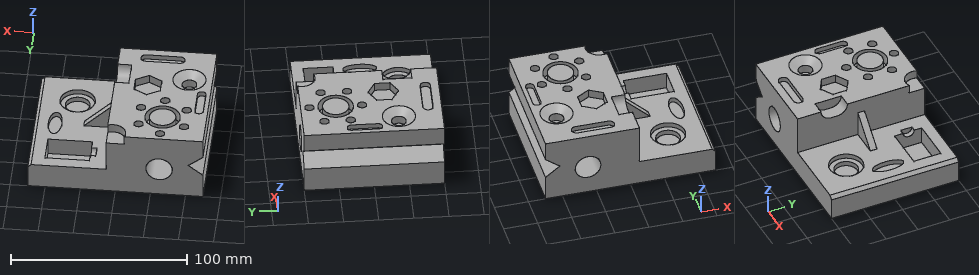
import cadquery as cq

LENGTH, WIDTH, HEIGHT = 100, 80, 40
STEP_X = 55.2
SHELF_Z = 15.6
END_CHAMFER = 2

GROOVE_BOTTOM_Z = 15.6
GROOVE_WIDTH = 13
GROOVE_DEPTH = 8.4
GROOVE_APEX_Z = 22.1

CROSS_HOLE_DIAMETER = 15
CROSS_HOLE_Z = 18

RING_X, RING_Y = 25, 60
RING_OUTER_DIAMETER = 20
RING_INNER_DIAMETER = 15
RING_DEPTH = 7
BOLT_COUNT = 6
BOLT_CIRCLE_DIAMETER = 30
BOLT_DIAMETER = 5.2
BOLT_DEPTH = 5

SIDE_SLOT_CENTER = (5, 45)
SIDE_SLOT_LENGTH, SIDE_SLOT_WIDTH = 20, 4.8
SIDE_SLOT_DEPTH = 3
FRONT_SLOT_CENTER = (30, 7.8)
FRONT_SLOT_LENGTH, FRONT_SLOT_WIDTH = 25, 5.8
FRONT_SLOT_DEPTH = 3

SINK_CENTER = (13.2, 25)
SINK_DIAMETER = 18.8
SINK_HOLE_DIAMETER = 8.3
SINK_DEPTH = 3.5
SINK_HOLE_DEPTH = 8.5

HEX_CENTER = (36.2, 32)
HEX_CORNER_DIAMETER = 17.4
HEX_DEPTH = 5

CORNER_CENTER = (52, 77.2)
CORNER_DIAMETER = 15.2
CORNER_DEPTH = 5.3

NOTCH_Y = 23.1
NOTCH_LENGTH = 8.1
NOTCH_WIDTH = 16.5
NOTCH_DEPTH = 6.4

RIB_Y = 40
RIB_THICKNESS = 4.2
RIB_LENGTH = 16.5
RIB_HEIGHT = 15.8

POCKET_CENTER = (78.1, 64.6)
POCKET_LENGTH, POCKET_WIDTH = 25.4, 17
POCKET_DEPTH = 10.5
CHANNEL_Y = 65
CHANNEL_LENGTH = 3.1
CHANNEL_DIAMETER = 7

ELLIPSE_CENTER = (88.1, 41.2)
ELLIPSE_RADIUS_X, ELLIPSE_RADIUS_Y = 3.9, 9.6
ELLIPSE_DEPTH = 3

BORE_CENTER = (77.4, 20)
COUNTERBORE_DIAMETER = 20
COUNTERBORE_DEPTH = 3
BORE_DIAMETER = 14
BORE_DEPTH = 6


def plane_at(center, z):
    """Horizontal workplane with its origin above the given XY point."""
    return cq.Workplane("XY", origin=(center[0], center[1], z))


def round_cut(center, diameter, z, depth):
    return plane_at(center, z).circle(diameter / 2).extrude(-depth)


def stepped_block():
    profile = [
        (0, 0),
        (LENGTH, 0),
        (LENGTH, SHELF_Z - END_CHAMFER),
        (LENGTH - END_CHAMFER, SHELF_Z),
        (STEP_X, SHELF_Z),
        (STEP_X, HEIGHT),
        (0, HEIGHT),
        (0, GROOVE_BOTTOM_Z + GROOVE_WIDTH),
        (GROOVE_DEPTH, GROOVE_APEX_Z),
        (0, GROOVE_BOTTOM_Z),
    ]
    return cq.Workplane("XZ").polyline(profile).close().extrude(-WIDTH)


def rib():
    front_y = RIB_Y - RIB_THICKNESS / 2
    corners = [(0, 0), (RIB_LENGTH, 0), (0, RIB_HEIGHT)]
    plane = cq.Workplane("XZ", origin=(STEP_X, front_y, SHELF_Z))
    return plane.polyline(corners).close().extrude(-RIB_THICKNESS)


def cross_hole():
    plane = cq.Workplane("XZ", origin=(RING_X, 0, CROSS_HOLE_Z))
    return plane.circle(CROSS_HOLE_DIAMETER / 2).extrude(-WIDTH)


def ring_groove():
    plane = plane_at((RING_X, RING_Y), HEIGHT)
    rings = plane.circle(RING_OUTER_DIAMETER / 2).circle(RING_INNER_DIAMETER / 2)
    return rings.extrude(-RING_DEPTH)


def bolt_holes():
    plane = plane_at((RING_X, RING_Y), HEIGHT)
    spots = plane.polarArray(BOLT_CIRCLE_DIAMETER / 2, 90, 360, BOLT_COUNT)
    return spots.circle(BOLT_DIAMETER / 2).extrude(-BOLT_DEPTH)


def top_slot(center, length, width, depth, angle):
    return plane_at(center, HEIGHT).slot2D(length, width, angle).extrude(-depth)


def countersunk_hole():
    top_radius = SINK_DIAMETER / 2
    hole_radius = SINK_HOLE_DIAMETER / 2
    half_section = [
        (0, 0),
        (top_radius, 0),
        (hole_radius, -SINK_DEPTH),
        (hole_radius, -SINK_HOLE_DEPTH),
        (0, -SINK_HOLE_DEPTH),
    ]
    plane = cq.Workplane("XZ", origin=(*SINK_CENTER, HEIGHT))
    return plane.polyline(half_section).close().revolve(360, (0, 0), (0, 1))


def hex_pocket():
    plane = plane_at(HEX_CENTER, HEIGHT).transformed(rotate=(0, 0, 90))
    return plane.polygon(6, HEX_CORNER_DIAMETER).extrude(-HEX_DEPTH)


def step_notch():
    """The bottom edges are rounded over the full depth of the notch."""
    half_width = NOTCH_WIDTH / 2
    half_floor = half_width - NOTCH_DEPTH
    plane = cq.Workplane("YZ", origin=(STEP_X, NOTCH_Y, HEIGHT))
    outline = (
        plane.moveTo(-half_width, 0)
        .radiusArc((-half_floor, -NOTCH_DEPTH), -NOTCH_DEPTH)
        .lineTo(half_floor, -NOTCH_DEPTH)
        .radiusArc((half_width, 0), -NOTCH_DEPTH)
        .close()
    )
    return outline.extrude(-NOTCH_LENGTH)


def shelf_pocket():
    pocket = plane_at(POCKET_CENTER, SHELF_Z).rect(POCKET_LENGTH, POCKET_WIDTH).extrude(-POCKET_DEPTH)
    wall_x = POCKET_CENTER[0] - POCKET_LENGTH / 2
    plane = cq.Workplane("YZ", origin=(wall_x, CHANNEL_Y, SHELF_Z))
    channel = plane.circle(CHANNEL_DIAMETER / 2).extrude(-CHANNEL_LENGTH)
    return pocket.union(channel)


def ellipse_pocket():
    plane = plane_at(ELLIPSE_CENTER, SHELF_Z)
    return plane.ellipse(ELLIPSE_RADIUS_X, ELLIPSE_RADIUS_Y).extrude(-ELLIPSE_DEPTH)


def counterbored_hole():
    counterbore = round_cut(BORE_CENTER, COUNTERBORE_DIAMETER, SHELF_Z, COUNTERBORE_DEPTH)
    return counterbore.union(round_cut(BORE_CENTER, BORE_DIAMETER, SHELF_Z, BORE_DEPTH))


cuts = [
    cross_hole(),
    ring_groove(),
    bolt_holes(),
    top_slot(SIDE_SLOT_CENTER, SIDE_SLOT_LENGTH, SIDE_SLOT_WIDTH, SIDE_SLOT_DEPTH, 90),
    top_slot(FRONT_SLOT_CENTER, FRONT_SLOT_LENGTH, FRONT_SLOT_WIDTH, FRONT_SLOT_DEPTH, 0),
    countersunk_hole(),
    hex_pocket(),
    round_cut(CORNER_CENTER, CORNER_DIAMETER, HEIGHT, CORNER_DEPTH),
    step_notch(),
    shelf_pocket(),
    ellipse_pocket(),
    counterbored_hole(),
]

result = stepped_block().union(rib())
for cut in cuts:
    result = result.cut(cut)